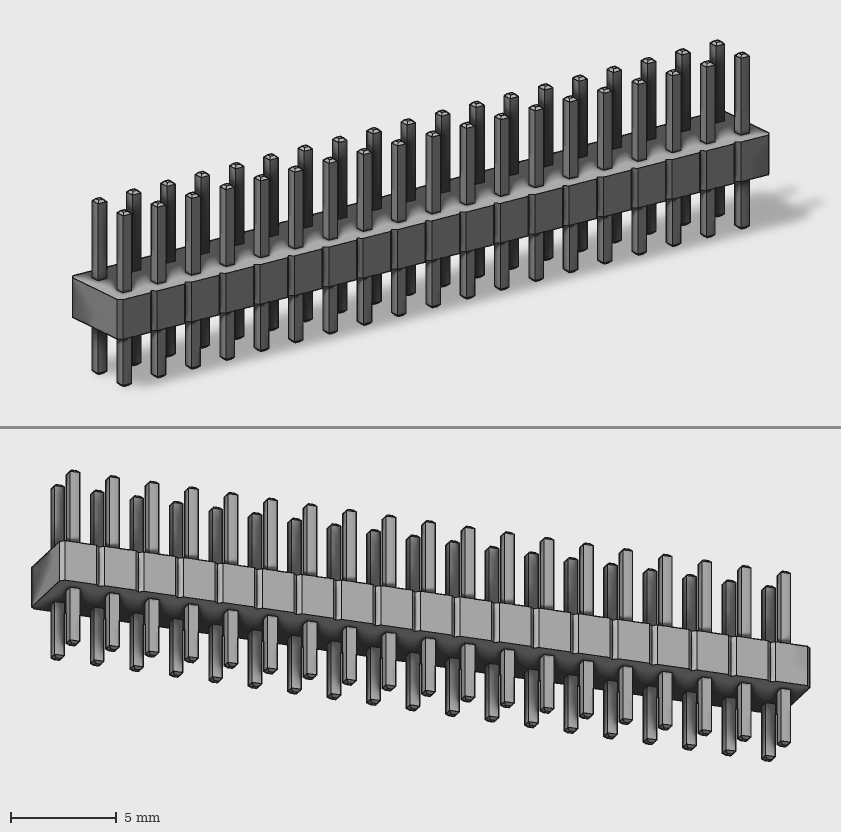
import cadquery as cq

pitch = 2.0
pin_rows = 2
pins_per_row = 19
body_height = 2.0
corner_chamfer = 0.2

pin_width = 0.5
pin_length_above = 4.0
pin_length_below = 2.8
pin_length = pin_length_below + body_height + pin_length_above
pin_tip_chamfer = pin_width / 4

body_width = pin_rows * pitch


def centered_position(index, count):
    """Place of one item in an evenly pitched line of items centred on zero."""
    return (index - (count - 1) / 2) * pitch


def body_slice(y_center):
    """One pitch of the body: both pin rows wide, with its four upright corners bevelled."""
    return (
        cq.Workplane("XY")
        .center(0, y_center)
        .rect(body_width, pitch)
        .extrude(body_height)
        .edges("|Z")
        .chamfer(corner_chamfer)
    )


def make_pin(x_center, y_center):
    """A square pin running through the body, bevelled at both tips."""
    return (
        cq.Workplane("XY")
        .workplane(offset=-pin_length_below)
        .center(x_center, y_center)
        .rect(pin_width, pin_width)
        .extrude(pin_length)
        .faces("<Z or >Z")
        .edges()
        .chamfer(pin_tip_chamfer)
    )


slices = []
pins = []
for position in range(pins_per_row):
    y = centered_position(position, pins_per_row)
    slices.append(body_slice(y).val())
    for row in range(pin_rows):
        x = centered_position(row, pin_rows)
        pins.append(make_pin(x, y).val())

body = slices[0].fuse(*slices[1:]).clean()
result = cq.Workplane("XY").newObject([body.fuse(*pins).clean()])